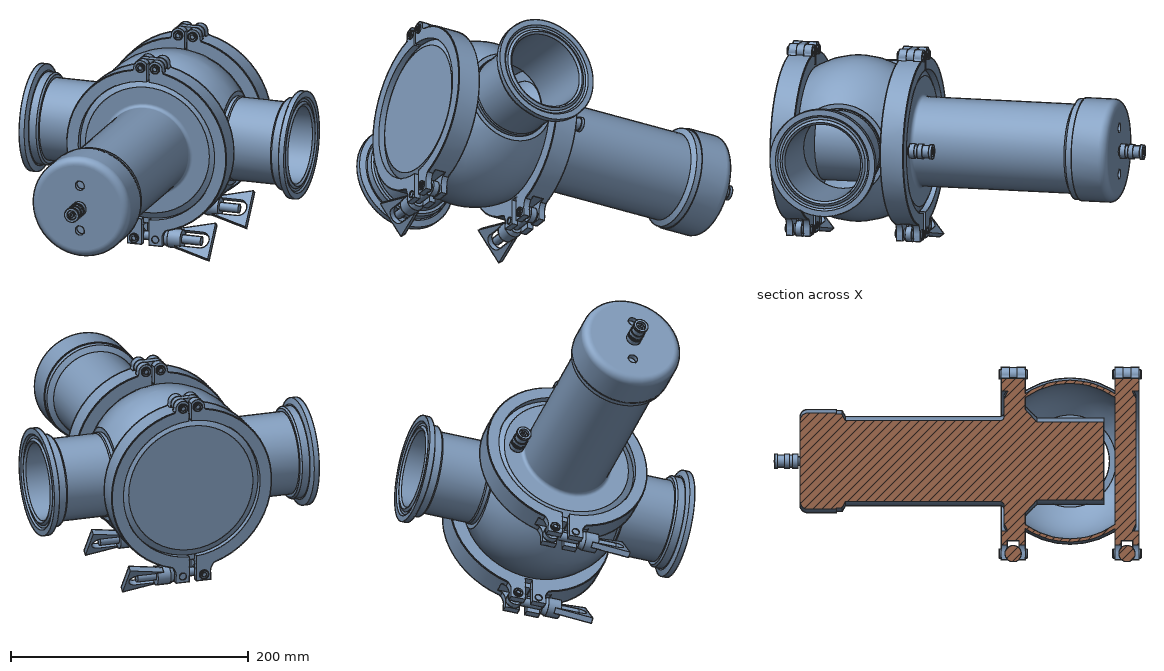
import cadquery as cq
import math


SPHERE_RADIUS = 70.0
WALL = 3.0
SPHERE_HALF_X = 57.8

PIPE_HALF_LENGTH = 118.0
PIPE_RADIUS = 70.0 / 2
BORE_RADIUS = 33.0
FERRULE_RADIUS = 45.7
FERRULE_RIM = 4.5
FERRULE_TAPER = 2.0
FERRULE_TAPER_RADIUS = 40.5
FERRULE_NECK_RADIUS = 39.2
FERRULE_NECK_END = 103.5
FERRULE_NECK_CHAMFER = 1.5
SEAL_GROOVE_OUTER = 40.8
SEAL_GROOVE_INNER = 37.0
SEAL_GROOVE_DEPTH = 1.5
MOUTH_RADIUS = 35.0
WELD_RADIUS = 35.8
WELD_END = 62.0
WELD_CHAMFER = 1.2

CLAMP_INNER_Y = 37.7
CLAMP_OUTER_Y = 58.0
CAP_FLANGE_RADIUS = 65.5
CAP_FLANGE_INNER_Y = 43.2
CAP_FLANGE_OUTER_Y = 52.5
CAP_FACE_Y = 55.5
CAP_FACE_RADIUS = 55.3

CORE_RADIUS = 36.5
CORE_END_Y = 28.5
CORE_FLARE_Y = -27.8
CORE_FLARE_RADIUS = 46.3
TUBE_RADIUS = 37.7
TUBE_ROOT_FILLET = 3.0
TUBE_END_Y = -189.0
HEAD_TAPER_END_Y = -191.8
HEAD_RIM_RADIUS = 42.5
HEAD_RIM_END_Y = -196.8
HEAD_RADIUS = 43.5
HEAD_FACE_Y = -227.5
HEAD_FILLET = 6.5
KEY_HOLE_DIAMETER = 8.0
KEY_HOLE_OFFSET = 19.8
KEY_HOLE_DEPTH = 4.5

CONNECTOR_RADIUS = 6.2
CONNECTOR_STUB_RADIUS = 3.7
CONNECTOR_GROOVE_RADIUS = 5.3
CONNECTOR_SOCKET_RADIUS = 4.0
CONNECTOR_SOCKET_DEPTH = 2.5
CONNECTOR_CONTACT_RADIUS = 2.0
CONNECTOR_TIP_RADIUS = 0.5
CONNECTOR_LENGTH = 21.5
SIDE_CONNECTOR_X = -44.8

CLAMP_RADIUS = 71.5
CLAMP_BORE_RADIUS = 61.0
CLAMP_CHAMFER = 0.5
CLAMP_WIDTH = CLAMP_OUTER_Y - CLAMP_INNER_Y
CLAMP_MID_Y = (CLAMP_OUTER_Y + CLAMP_INNER_Y) / 2
FLANK_REACH = 6.8
FLANK_SINK = 1.5

HINGE_CENTRE_X = 1.4
HINGE_PIN_SPACING = 13.0
HINGE_PIN_Z = 73.0
HINGE_EAR_RADIUS = 6.2
HINGE_FLANK_Z = 72.0
HINGE_LINK_RADIUS = 6.0
HINGE_LINK_WIDTH = 6.5
HINGE_CUT_TOP_Z = HINGE_PIN_Z + 2 * HINGE_EAR_RADIUS
HINGE_SLIT = 2.2
PIN_HEAD_RADIUS = 4.0
PIN_RECESS_RADIUS = 2.0
PIN_RECESS_DEPTH = 1.0
PIN_HEAD_HEIGHT = 2.0
PIN_HEAD_CHAMFER = 0.5

CLOSURE_Z = -77.8
CLOSURE_PIN_X = -10.8
CLOSURE_EAR_BOTTOM_Z = -83.0
CLOSURE_LEFT_EAR = (-17.0, -4.3)
CLOSURE_RIGHT_EAR = (2.2, 14.0)
CLOSURE_SLOT_WIDTH = 9.5
CLOSURE_SLOT_TOP_Z = -67.0
SEAT_PIN_X = 7.7
SEAT_PIN_RADIUS = 3.0
BOLT_EYE_RADIUS = 6.5
BOLT_EYE_WIDTH = 5.3
BOLT_RADIUS = 3.7
BOLT_START_OFFSET = 5.0
BOLT_END_X = 45.7
NUT_START_X = 13.3
NUT_TIP_RADIUS = 6.2
NUT_SHOULDER_X = 17.5
NUT_RADIUS = 8.0
NUT_END_X = 29.0
WING_START_X = 23.8
WING_END_X = 55.3
WING_ROOT_HALF_WIDTH = 8.0
WING_END_HALF_WIDTH = 16.5
WING_THICKNESS = 5.0
WING_TILT = 52.0
WING_WINDOW_RADIUS = 7.0


def revolve_x(points):
    """Turn a closed (x, radius) outline about the X axis."""
    return cq.Workplane("XY").polyline(points).close().revolve(360, (0, 0, 0), (1, 0, 0))


def revolve_y(points):
    """Turn a closed (radius, y) outline about the Y axis."""
    return cq.Workplane("XY").polyline(points).close().revolve(360, (0, 0, 0), (0, 1, 0))


def box_between(x_range, y_range, z_range):
    ranges = (x_range, y_range, z_range)
    sizes = [high - low for low, high in ranges]
    centre = tuple((low + high) / 2 for low, high in ranges)
    return cq.Workplane("XY").box(*sizes).translate(centre)


def plate(outline, y_low, y_high):
    """Extrude the (x, z) outline drawn by `outline` from y_low to y_high."""
    sketch_plane = cq.Workplane("XZ", origin=(0, y_high, 0))
    return outline(sketch_plane).extrude(y_high - y_low)


def disc_y(radius, x, z, y_low, y_high):
    return plate(lambda plane: plane.center(x, z).circle(radius), y_low, y_high)


def rod_x(radius, z, x_low, x_high):
    return cq.Workplane("YZ", origin=(x_low, 0, z)).circle(radius).extrude(x_high - x_low)


def pipe_end():
    """The solid pipe stub on the +X side, with weld ring and ferrule."""
    taper_start = PIPE_HALF_LENGTH - FERRULE_RIM
    neck_start = taper_start - FERRULE_TAPER
    chamfer = FERRULE_NECK_CHAMFER
    return revolve_x([
        (0, 0),
        (0, WELD_RADIUS),
        (WELD_END - WELD_CHAMFER, WELD_RADIUS),
        (WELD_END, PIPE_RADIUS),
        (FERRULE_NECK_END, PIPE_RADIUS),
        (FERRULE_NECK_END, FERRULE_NECK_RADIUS - chamfer),
        (FERRULE_NECK_END + chamfer, FERRULE_NECK_RADIUS),
        (neck_start, FERRULE_NECK_RADIUS),
        (neck_start, FERRULE_TAPER_RADIUS),
        (taper_start, FERRULE_RADIUS),
        (PIPE_HALF_LENGTH, FERRULE_RADIUS),
        (PIPE_HALF_LENGTH, SEAL_GROOVE_OUTER),
        (PIPE_HALF_LENGTH - SEAL_GROOVE_DEPTH, SEAL_GROOVE_OUTER - SEAL_GROOVE_DEPTH),
        (PIPE_HALF_LENGTH - SEAL_GROOVE_DEPTH, SEAL_GROOVE_INNER),
        (PIPE_HALF_LENGTH, MOUTH_RADIUS),
        (PIPE_HALF_LENGTH - (MOUTH_RADIUS - BORE_RADIUS), BORE_RADIUS),
        (PIPE_HALF_LENGTH - (MOUTH_RADIUS - BORE_RADIUS), 0),
    ])


def truncated_sphere(radius, half_x, half_y):
    block = cq.Workplane("XY").box(2 * half_x, 2 * half_y, 2 * radius)
    return cq.Workplane("XY").sphere(radius).intersect(block)


def housing():
    body = truncated_sphere(SPHERE_RADIUS, SPHERE_HALF_X, CLAMP_MID_Y)
    body = body.union(pipe_end()).union(pipe_end().mirror("YZ"))
    cavity = truncated_sphere(SPHERE_RADIUS - WALL, SPHERE_HALF_X - WALL, CLAMP_INNER_Y)
    return body.cut(cavity).cut(rod_x(BORE_RADIUS, 0, -PIPE_HALF_LENGTH, PIPE_HALF_LENGTH))


def cap():
    """The cover on the +Y side: a flange held by the clamp and a bevelled outer face."""
    return revolve_y([
        (0, CLAMP_INNER_Y),
        (CLAMP_BORE_RADIUS, CLAMP_INNER_Y),
        (CLAMP_BORE_RADIUS, CAP_FLANGE_INNER_Y),
        (CAP_FLANGE_RADIUS, CAP_FLANGE_INNER_Y),
        (CAP_FLANGE_RADIUS, CAP_FLANGE_OUTER_Y),
        (CLAMP_BORE_RADIUS, CAP_FLANGE_OUTER_Y),
        (CAP_FACE_RADIUS, CAP_FACE_Y),
        (0, CAP_FACE_Y),
    ])


def probe():
    """Core inside the housing, tube outside it and the head at the far end."""
    arc_offset = TUBE_ROOT_FILLET * (1 - math.sqrt(0.5))
    head_corner_offset = HEAD_FILLET * (1 - math.sqrt(0.5))
    profile = (
        cq.Workplane("XY")
        .moveTo(0, CORE_END_Y)
        .lineTo(CORE_RADIUS, CORE_END_Y)
        .lineTo(CORE_RADIUS, CORE_FLARE_Y)
        .lineTo(CORE_FLARE_RADIUS, -CLAMP_INNER_Y)
        .lineTo(CORE_FLARE_RADIUS, -CAP_FACE_Y)
        .lineTo(TUBE_RADIUS + TUBE_ROOT_FILLET, -CAP_FACE_Y)
        .threePointArc(
            (TUBE_RADIUS + arc_offset, -CAP_FACE_Y - arc_offset),
            (TUBE_RADIUS, -CAP_FACE_Y - TUBE_ROOT_FILLET),
        )
        .lineTo(TUBE_RADIUS, TUBE_END_Y)
        .lineTo(HEAD_RIM_RADIUS, HEAD_TAPER_END_Y)
        .lineTo(HEAD_RIM_RADIUS, HEAD_RIM_END_Y)
        .lineTo(HEAD_RADIUS, HEAD_RIM_END_Y)
        .lineTo(HEAD_RADIUS, HEAD_FACE_Y + HEAD_FILLET)
        .threePointArc(
            (HEAD_RADIUS - head_corner_offset, HEAD_FACE_Y + head_corner_offset),
            (HEAD_RADIUS - HEAD_FILLET, HEAD_FACE_Y),
        )
        .lineTo(0, HEAD_FACE_Y)
        .close()
    )
    body = profile.revolve(360, (0, 0, 0), (0, 1, 0))
    for z in (-KEY_HOLE_OFFSET, KEY_HOLE_OFFSET):
        hole = disc_y(KEY_HOLE_DIAMETER / 2, 0, z, HEAD_FACE_Y, HEAD_FACE_Y + KEY_HOLE_DEPTH)
        body = body.cut(hole)
    return body


def connector(x, face_y):
    """A cable connector standing on the plane y = face_y and pointing along -Y."""
    groove = CONNECTOR_GROOVE_RADIUS
    outline = [(0, 1.5)]
    steps = [
        (CONNECTOR_STUB_RADIUS, 1.5),
        (CONNECTOR_RADIUS, 6.2),
        (groove, 8.5),
        (CONNECTOR_RADIUS, 13.0),
        (groove, 18.8),
        (CONNECTOR_RADIUS, 21.3),
    ]
    step_start = -1.5
    for radius, step_end in steps:
        outline += [(radius, -step_start), (radius, -step_end)]
        step_start = step_end
    body_end = steps[-1][1]
    socket_floor = -body_end + CONNECTOR_SOCKET_DEPTH
    outline += [
        (CONNECTOR_SOCKET_RADIUS, -body_end),
        (CONNECTOR_SOCKET_RADIUS, socket_floor),
        (CONNECTOR_CONTACT_RADIUS, socket_floor),
        (CONNECTOR_CONTACT_RADIUS, -body_end),
        (CONNECTOR_TIP_RADIUS, -body_end),
        (CONNECTOR_TIP_RADIUS, -CONNECTOR_LENGTH),
        (0, -CONNECTOR_LENGTH),
    ]
    return revolve_y(outline).translate((x, face_y, 0))


def clamp_ring():
    outer_bevel = CLAMP_RADIUS - CLAMP_CHAMFER
    return revolve_y([
        (CLAMP_BORE_RADIUS, CLAMP_INNER_Y),
        (outer_bevel, CLAMP_INNER_Y),
        (CLAMP_RADIUS, CLAMP_INNER_Y + CLAMP_CHAMFER),
        (CLAMP_RADIUS, CLAMP_OUTER_Y - CLAMP_CHAMFER),
        (outer_bevel, CLAMP_OUTER_Y),
        (CLAMP_BORE_RADIUS, CLAMP_OUTER_Y),
    ])


def ear(inner_x, outer_x, flank_z, end_z):
    """A full-width ear whose outer side curves into the clamp ring.

    The outer side is straight from end_z to flank_z and curves out to the ring from there.
    """
    outward = math.copysign(1, outer_x - inner_x)
    upward = math.copysign(1, end_z)
    foot_x = outer_x + outward * FLANK_REACH
    foot_z = upward * math.sqrt((CLAMP_RADIUS - FLANK_SINK)**2 - foot_x**2)
    base_z = upward * (CLAMP_BORE_RADIUS + FLANK_SINK)
    bend = (outer_x + outward * FLANK_REACH * 0.3, 0.3 * flank_z + 0.7 * foot_z)

    def outline(plane):
        return (
            plane.moveTo(inner_x, end_z)
            .lineTo(outer_x, end_z)
            .lineTo(outer_x, flank_z)
            .threePointArc(bend, (foot_x, foot_z))
            .lineTo(foot_x, base_z)
            .lineTo(inner_x, base_z)
            .close()
        )

    return plate(outline, CLAMP_INNER_Y, CLAMP_OUTER_Y)


def headed_pin(x, z):
    """A pin through the clamp with a bevelled, recessed head at each end."""
    half_length = CLAMP_WIDTH / 2 + PIN_HEAD_HEIGHT
    pin = disc_y(PIN_HEAD_RADIUS, x, z, CLAMP_MID_Y - half_length, CLAMP_MID_Y + half_length)
    pin = pin.faces("<Y or >Y").chamfer(PIN_HEAD_CHAMFER)
    for side in (-1, 1):
        end_y = CLAMP_MID_Y + side * half_length
        floor_y = end_y - side * PIN_RECESS_DEPTH
        pin = pin.cut(disc_y(PIN_RECESS_RADIUS, x, z, min(end_y, floor_y), max(end_y, floor_y)))
    return pin


def middle_slot(width):
    """The Y range of a slot of the given width at the middle of the clamp."""
    return CLAMP_MID_Y - width / 2, CLAMP_MID_Y + width / 2


def hinge_pin_places():
    return [HINGE_CENTRE_X + side * HINGE_PIN_SPACING / 2 for side in (-1, 1)]


def hinge_ears():
    """Two pairs of round ears, with a slot between them for the link."""
    ears = cq.Workplane("XY")
    for pin_x in hinge_pin_places():
        side = math.copysign(1, pin_x - HINGE_CENTRE_X)
        outer_x = pin_x + side * HINGE_EAR_RADIUS
        ears = ears.union(ear(HINGE_CENTRE_X, outer_x, HINGE_FLANK_Z, HINGE_PIN_Z))
        ears = ears.union(disc_y(HINGE_EAR_RADIUS, pin_x, HINGE_PIN_Z, CLAMP_INNER_Y, CLAMP_OUTER_Y))
    half_span = CLAMP_RADIUS
    slot = box_between(
        (-half_span, half_span), middle_slot(HINGE_LINK_WIDTH), (0, HINGE_CUT_TOP_Z)
    )
    return ears.cut(slot)


def hinge_link():
    """The flat bar joining both hinge pins."""
    length = HINGE_PIN_SPACING + 2 * HINGE_LINK_RADIUS
    return plate(
        lambda plane: plane.center(HINGE_CENTRE_X, HINGE_PIN_Z).slot2D(length, 2 * HINGE_LINK_RADIUS),
        *middle_slot(HINGE_LINK_WIDTH),
    )


def closure_ears():
    left_inner = CLOSURE_LEFT_EAR[1]
    left = ear(left_inner, CLOSURE_LEFT_EAR[0], CLOSURE_Z, CLOSURE_EAR_BOTTOM_Z)
    right = ear(*CLOSURE_RIGHT_EAR, CLOSURE_Z, CLOSURE_EAR_BOTTOM_Z)
    seat = disc_y(
        SEAT_PIN_RADIUS, SEAT_PIN_X, CLOSURE_Z, CLAMP_INNER_Y, CLAMP_INNER_Y + PIN_RECESS_DEPTH
    )
    return left.union(right).cut(seat).cut(seat.translate((0, CLAMP_WIDTH - PIN_RECESS_DEPTH, 0)))


def wing():
    """The tilted wing of the nut, with a round-ended window around the bolt."""
    window_end = BOLT_END_X
    blade = (
        cq.Workplane("XY")
        .polyline([
            (WING_START_X, -WING_ROOT_HALF_WIDTH),
            (WING_END_X, -WING_END_HALF_WIDTH),
            (WING_END_X, WING_END_HALF_WIDTH),
            (WING_START_X, WING_ROOT_HALF_WIDTH),
        ])
        .close()
        .extrude(WING_THICKNESS / 2, both=True)
    )
    window = (
        cq.Workplane("XY")
        .moveTo(NUT_END_X, -WING_WINDOW_RADIUS)
        .lineTo(window_end, -WING_WINDOW_RADIUS)
        .threePointArc((window_end + WING_WINDOW_RADIUS, 0), (window_end, WING_WINDOW_RADIUS))
        .lineTo(NUT_END_X, WING_WINDOW_RADIUS)
        .close()
        .extrude(WING_THICKNESS, both=True)
    )
    return blade.cut(window).rotate((0, 0, 0), (1, 0, 0), WING_TILT)


def swing_bolt():
    """Eye bolt on the closure pin with its wing nut."""
    nut = revolve_x([
        (NUT_START_X, 0),
        (NUT_START_X, NUT_TIP_RADIUS),
        (NUT_SHOULDER_X, NUT_RADIUS),
        (NUT_END_X, NUT_RADIUS),
        (NUT_END_X, 0),
    ])
    bolt = rod_x(BOLT_RADIUS, 0, CLOSURE_PIN_X + BOLT_START_OFFSET, BOLT_END_X)
    eye = disc_y(BOLT_EYE_RADIUS, CLOSURE_PIN_X, 0, -BOLT_EYE_WIDTH / 2, BOLT_EYE_WIDTH / 2)
    assembly = nut.union(wing()).union(bolt).union(eye)
    return assembly.translate((0, CLAMP_MID_Y, CLOSURE_Z))


def clamp():
    """The complete clamp on the +Y side."""
    y_range = (CLAMP_INNER_Y, CLAMP_OUTER_Y)
    body = clamp_ring().union(hinge_ears()).union(closure_ears())
    hinge_slit = (HINGE_CENTRE_X - HINGE_SLIT / 2, HINGE_CENTRE_X + HINGE_SLIT / 2)
    body = body.cut(box_between(hinge_slit, y_range, (0, HINGE_CUT_TOP_Z)))
    closure_gap = (CLOSURE_LEFT_EAR[1], CLOSURE_RIGHT_EAR[0])
    body = body.cut(box_between(closure_gap, y_range, (CLOSURE_EAR_BOTTOM_Z, 0)))
    slot_span = (CLOSURE_LEFT_EAR[0] - FLANK_REACH, CLOSURE_RIGHT_EAR[1] + FLANK_REACH)
    slot_depth = (CLOSURE_EAR_BOTTOM_Z, CLOSURE_SLOT_TOP_Z)
    body = body.cut(box_between(slot_span, middle_slot(CLOSURE_SLOT_WIDTH), slot_depth))
    body = body.union(hinge_link())
    body = body.union(swing_bolt())
    for pin_x in hinge_pin_places():
        body = body.union(headed_pin(pin_x, HINGE_PIN_Z))
    return body.union(headed_pin(CLOSURE_PIN_X, CLOSURE_Z))


back_clamp = clamp()
front_clamp = back_clamp.translate((0, -2 * CLAMP_MID_Y, 0))

result = (
    housing()
    .union(cap())
    .union(cap().mirror("XZ"))
    .union(probe())
    .union(connector(0, HEAD_FACE_Y))
    .union(connector(SIDE_CONNECTOR_X, -CAP_FACE_Y))
    .union(back_clamp)
    .union(front_clamp)
)